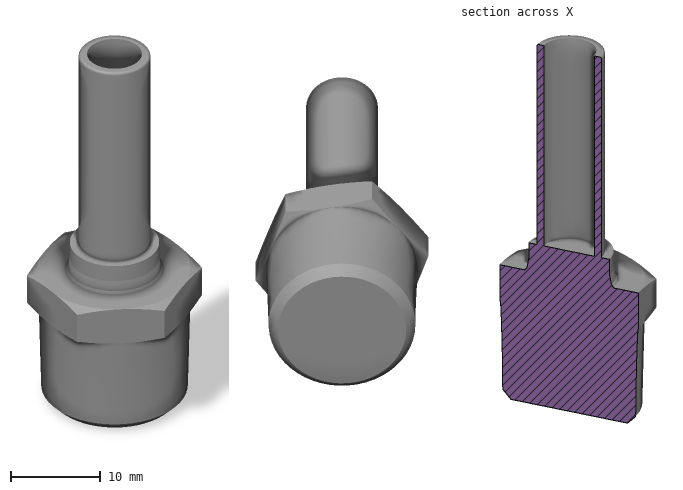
import cadquery as cq
import math

total_height = 45.0
thread_height = 12.0
hex_top = 16.55
flare_top = 16.88
shoulder_top = 18.05
collar_top = 20.02

across_flats = 17.0
across_corners = across_flats / math.cos(math.pi / 6)
corner_drop = 0.5

body_top_radius = 8.45
body_bottom_radius = 8.2
body_tip_radius = 7.15
body_chamfer_height = 1.1

collar_radius = 5.0
shoulder_radius = 5.2
flare_radius = 5.5

tube_radius = 4.0
tube_rounding = 0.3
bore_radius = 3.05
bore_depth = total_height - collar_top


def revolve_profile(points):
    """Revolve a closed (radius, height) outline about the Z axis."""
    return cq.Workplane("XZ").polyline(points).close().revolve(360, (0, 0), (0, 1))


def make_hexagon():
    """Hexagonal prism trimmed by a cone at both ends."""
    prism = (
        cq.Workplane("XY")
        .workplane(offset=thread_height)
        .polygon(6, across_corners)
        .extrude(hex_top - thread_height)
    )
    flat_radius = across_flats / 2
    corner_radius = across_corners / 2
    envelope = revolve_profile([
        (0, thread_height),
        (flat_radius, thread_height),
        (corner_radius, thread_height + corner_drop),
        (corner_radius, hex_top - corner_drop),
        (flat_radius, hex_top),
        (0, hex_top),
    ])
    return prism.intersect(envelope)


def make_turned_body():
    """Tapered body, flared collar and tube as one turned shape."""
    return revolve_profile([
        (0, 0),
        (body_tip_radius, 0),
        (body_bottom_radius, body_chamfer_height),
        (body_top_radius, thread_height),
        (flare_radius, thread_height),
        (flare_radius, hex_top),
        (shoulder_radius, flare_top),
        (collar_radius, shoulder_top),
        (collar_radius, collar_top),
        (tube_radius, collar_top),
        (tube_radius, total_height),
        (0, total_height),
    ])


bore = (
    cq.Workplane("XY")
    .workplane(offset=total_height - bore_depth)
    .circle(bore_radius)
    .extrude(bore_depth)
)

turned_body = make_turned_body().faces(">Z").edges().fillet(tube_rounding)

result = turned_body.union(make_hexagon()).cut(bore)